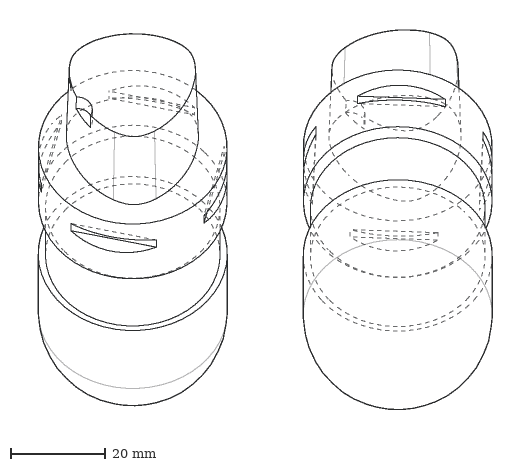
import cadquery as cq
import math


shank_height = 24.0
shank_base_width = 28.0
shank_taper = 1 / 20
lobe_offset = 0.95
lobe_direction = 90.0
arc_span = 60.0
steps_per_arc = 6

notch_radius = 3.3
notch_depth = 4.2
notch_inner_y = -10.65

flange_diameter = 40.0
flange_straight = 20.0
flange_chamfer_height = 1.9
neck_diameter = 37.0

slot_count = 4
slot_first_angle = 45.0
slot_wall_distance = 17.7
slot_wall_height = 2.6
slot_flare_angle = 30.0
slot_cutter_clearance = 1.0
slot_center_z = -8.0

head_diameter = 40.1
head_rim_z = -38.8
head_dish_depth = 0.5
seat_z = head_rim_z - head_dish_depth
tool_length = 80.0


def polygon_point(width, normal_angle):
    """Outline point and unit tangent where the outward normal has the given angle.

    The distance from the axis to the tangent line is width / 2 + lobe_offset * cos(3 * t),
    with t measured from a lobe.
    """
    normal = math.radians(normal_angle)
    lobe_phase = 3 * math.radians(normal_angle - lobe_direction)
    reach = width / 2 + lobe_offset * math.cos(lobe_phase)
    slide = -3 * lobe_offset * math.sin(lobe_phase)
    x = reach * math.cos(normal) - slide * math.sin(normal)
    y = reach * math.sin(normal) + slide * math.cos(normal)
    return (x, y), (-math.sin(normal), math.cos(normal))


def polygon_wire(width, z):
    """Closed three-lobed outline made of three lobe arcs and three flank arcs."""
    arcs = []
    for arc in range(round(360 / arc_span)):
        start_angle = lobe_direction + (arc - 0.5) * arc_span
        samples = [
            polygon_point(width, start_angle + arc_span * step / steps_per_arc)
            for step in range(steps_per_arc + 1)
        ]
        points = [cq.Vector(x, y, z) for (x, y), _ in samples]
        end_tangents = [cq.Vector(*samples[0][1]), cq.Vector(*samples[-1][1])]
        arcs.append(cq.Edge.makeSpline(points, tangents=end_tangents))
    return cq.Wire.assembleEdges(arcs)


def make_shank():
    """Tapered shank with its locating notch."""
    top_width = shank_base_width - shank_taper * shank_height
    base_wire = polygon_wire(shank_base_width, 0)
    top_wire = polygon_wire(top_width, shank_height)
    shank = cq.Workplane(cq.Solid.makeLoft([base_wire, top_wire], True))
    notch = (
        cq.Workplane("XY", origin=(0, notch_inner_y - notch_radius, shank_height))
        .circle(notch_radius)
        .extrude(-notch_depth)
    )
    return shank.cut(notch)


def make_flange_and_neck():
    """Flange chamfered down to the narrower neck, turned about Z."""
    flange_radius = flange_diameter / 2
    neck_radius = neck_diameter / 2
    return (
        cq.Workplane("XZ")
        .moveTo(0, 0)
        .lineTo(flange_radius, 0)
        .lineTo(flange_radius, -flange_straight)
        .lineTo(neck_radius, -flange_straight - flange_chamfer_height)
        .lineTo(neck_radius, seat_z)
        .lineTo(0, seat_z)
        .close()
        .revolve(360, (0, 0, 0), (0, 1, 0))
    )


def make_slot_cutter(angle):
    """Straight cutter with a flat back wall and flared sides, facing the given angle."""
    outer_distance = flange_diameter / 2 + slot_cutter_clearance
    inner_half = slot_wall_height / 2
    flare = (outer_distance - slot_wall_distance) * math.tan(math.radians(slot_flare_angle))
    outer_half = inner_half + flare
    return (
        cq.Workplane("XZ")
        .moveTo(slot_wall_distance, slot_center_z - inner_half)
        .lineTo(outer_distance, slot_center_z - outer_half)
        .lineTo(outer_distance, slot_center_z + outer_half)
        .lineTo(slot_wall_distance, slot_center_z + inner_half)
        .close()
        .extrude(flange_diameter / 2, both=True)
        .rotate((0, 0, 0), (0, 0, 1), angle)
    )


def make_holder():
    """Shank, flange and neck in one piece, with the gripper slots cut in the flange."""
    holder = make_flange_and_neck().union(make_shank())
    for index in range(slot_count):
        holder = holder.cut(make_slot_cutter(slot_first_angle + index * 360 / slot_count))
    return holder


def make_cutting_head():
    """Cylinder ending in a hemisphere, dished on top to seat the neck, turned about Z."""
    radius = head_diameter / 2
    ball_center_z = radius - tool_length
    diagonal = radius * math.sqrt(0.5)
    return (
        cq.Workplane("XZ")
        .moveTo(0, seat_z)
        .lineTo(neck_diameter / 2, seat_z)
        .lineTo(radius, head_rim_z)
        .lineTo(radius, ball_center_z)
        .threePointArc((diagonal, ball_center_z - diagonal), (0, -tool_length))
        .close()
        .revolve(360, (0, 0, 0), (0, 1, 0))
    )


holder = make_holder()
cutting_head = make_cutting_head()

result = cq.Compound.makeCompound([holder.solids().val(), cutting_head.val()])